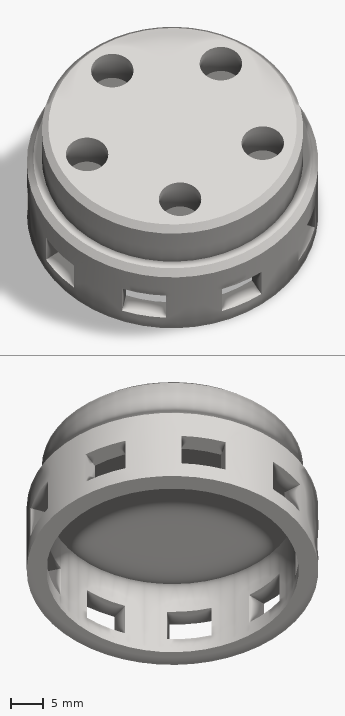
import cadquery as cq

total_height = 21.7
skirt_diameter = 44.7
skirt_height = 13.7
hat_diameter = 40.1
hat_height = total_height - skirt_height
edge_chamfer = 1.0

cavity_diameter = 38.68
cavity_depth = skirt_height

pocket_count = 5
pocket_diameter = 6.5
pocket_floor = 2.0
pocket_depth = hat_height - pocket_floor
pocket_circle_radius = 14.2
first_pocket_angle = 90.0

window_count = 9
window_width = 6.9
window_height = 5.5
window_bottom = 2.6
first_window_angle = 90.0


def chamfered_disc(diameter, height, base_z):
    """Solid disc standing on base_z with its top rim chamfered."""
    disc = cq.Workplane("XY").workplane(offset=base_z).circle(diameter / 2).extrude(height)
    return disc.faces(">Z").edges().chamfer(edge_chamfer)


def make_body():
    """Skirt and hat joined, with the cavity removed from below."""
    skirt = chamfered_disc(skirt_diameter, skirt_height, 0)
    cavity = cq.Workplane("XY").circle(cavity_diameter / 2).extrude(cavity_depth)
    hat = chamfered_disc(hat_diameter, total_height, 0)
    return skirt.union(hat).cut(cavity)


def make_pockets():
    """Ring of round cutters sunk from the top face."""
    return (
        cq.Workplane("XY")
        .workplane(offset=total_height - pocket_depth)
        .polarArray(pocket_circle_radius, first_pocket_angle, 360, pocket_count)
        .circle(pocket_diameter / 2)
        .extrude(pocket_depth)
    )


def make_window(angle):
    """Parallel-sided cutter running from the axis out through the wall at the given angle."""
    cutter_length = skirt_diameter
    cutter = cq.Workplane("XY").box(
        cutter_length, window_width, window_height, centered=(False, True, False)
    )
    return cutter.translate((0, 0, window_bottom)).rotate((0, 0, 0), (0, 0, 1), angle)


result = make_body().cut(make_pockets())
for index in range(window_count):
    window_angle = first_window_angle + index * 360 / window_count
    result = result.cut(make_window(window_angle))